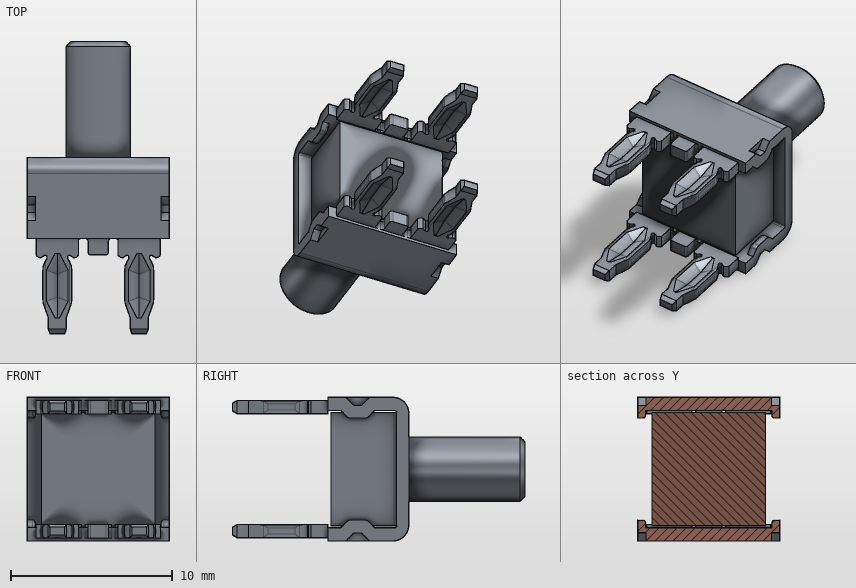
import cadquery as cq


frame_width = 8.8
frame_height = 8.9
frame_depth = 5.01
sheet = 0.83
back_thickness = 0.76
bend_radius = 1.0
inner_bend_radius = 0.1
shaft_hole_diameter = 4.2
arm_inner_z = frame_height / 2 - sheet

crimp_y = 1.85
crimp_width = 0.5
notch_depth = 0.5
notch_floor = 0.47
bump_depth = 0.47
bump_crest = 1.15
bump_crest_radius = 0.4
bump_end_radius = 0.18

terminal_inset = 0.2
terminal_z = frame_height / 2 - terminal_inset - sheet / 2
root_fillet_width = 0.18
outer_root_fillet_height = 0.07

centre_tab_width = 1.27
centre_tab_length = 1.01
centre_tab_radius = 0.16

pin_x = 2.53
shoulder_width = 2.62
shoulder_length = 1.2
shoulder_side_end_y = -1.03
shoulder_corner_radius = 0.36
relief_top_y = -1.05
relief_radius = 0.07
relief_flat_end_x = 0.8
relief_mouth_x = 1.01

neck_half_width = 0.65
pin_half_width = 0.89
pin_end_half_width = 0.56
flare_start_y = -1.25
flare_mid_half_width = 0.78
flare_mid_y = -1.47
flare_end_y = -1.75
taper_start_y = -3.98
taper_end_y = -4.9
tip_y = -5.61
pin_end_y = -5.9
tip_face_half_width = 0.45
tip_face_thickness = 0.49
edge_bevel_half_width = 0.75
edge_bevel_drop = 0.04

boss_half_width = 0.9
boss_top_length = 1.65
boss_top_thickness = 0.38

pocket_mid_y = -2.91
pocket_half_width = 0.67
pocket_length = 4.0
pocket_point_length = 4.52
pocket_side_length = 1.94
pocket_ridge_length = 1.43
pocket_depth = 0.33

block_side = 7.02
block_front_y = 0.18
shaft_diameter = 4.0
shaft_length = 7.19
shaft_chamfer = 0.3


def box_between(x, y, z):
    """Box given by its (low, high) limits along each axis."""
    return cq.Workplane("XY").box(
        x[1] - x[0], y[1] - y[0], z[1] - z[0], centered=False
    ).translate((x[0], y[0], z[0]))


def polyhedron(faces):
    """Solid bounded by flat faces, each a list of corner points."""
    sides = [cq.Face.makeFromWires(cq.Wire.makePolygon(points, close=True)) for points in faces]
    return cq.Workplane(cq.Solid.makeSolid(cq.Shell.makeShell(sides)))


def trapezoid_bar(base_z, base_width, crest_z, crest_width):
    """Bar of trapezoid section at the +X edge of the frame, as long as a crimp is wide."""
    return (
        cq.Workplane("YZ", origin=(frame_width / 2 - crimp_width, 0, 0))
        .polyline([
            (crimp_y - base_width / 2, base_z),
            (crimp_y - crest_width / 2, crest_z),
            (crimp_y + crest_width / 2, crest_z),
            (crimp_y + base_width / 2, base_z),
        ])
        .close()
        .extrude(crimp_width)
    )


def four_corners(body):
    """The body at +X +Z and its mirror images at the other three corners."""
    pair = [body, body.mirror("YZ")]
    return pair + [copy.mirror("XY") for copy in pair]


def make_bracket():
    """U-shaped bracket with bent corners, a shaft hole and four crimps."""
    bracket = (
        box_between(
            (-frame_width / 2, frame_width / 2), (0, frame_depth), (-frame_height / 2, frame_height / 2)
        )
        .edges("|X and >Y")
        .fillet(bend_radius)
    )
    back_inner_y = frame_depth - back_thickness
    opening = (
        box_between(
            (-frame_width / 2, frame_width / 2), (0, back_inner_y), (-arm_inner_z, arm_inner_z)
        )
        .edges("|X and >Y")
        .fillet(inner_bend_radius)
    )
    shaft_hole = cq.Workplane("XZ").circle(shaft_hole_diameter / 2).extrude(-frame_depth)
    bracket = bracket.cut(opening).cut(shaft_hole)

    notch = trapezoid_bar(
        frame_height / 2, notch_floor + 2 * notch_depth, frame_height / 2 - notch_depth, notch_floor
    )
    bump = (
        trapezoid_bar(arm_inner_z, bump_crest + 2 * bump_depth, arm_inner_z - bump_depth, bump_crest)
        .edges("|X and <Z")
        .fillet(bump_crest_radius)
        .faces("<X")
        .edges("not >Z")
        .fillet(bump_end_radius)
    )
    for cutter in four_corners(notch):
        bracket = bracket.cut(cutter)
    for addition in four_corners(bump):
        bracket = bracket.union(addition)
    return bracket


def root_fillet(tab_width, height):
    """Concave fillet, tangent to the bracket's end, on the +X side of a tab's root."""
    radius = (root_fillet_width**2 + height**2) / (2 * height)
    return (
        cq.Workplane("XY", origin=(0, 0, -sheet / 2))
        .moveTo(tab_width / 2, 0)
        .lineTo(tab_width / 2 + root_fillet_width, 0)
        .radiusArc((tab_width / 2, -height), -radius)
        .close()
        .extrude(sheet)
    )


def make_centre_tab():
    """Short rounded tab between the two pins of an arm."""
    tab = (
        box_between(
            (-centre_tab_width / 2, centre_tab_width / 2), (-centre_tab_length, 0), (-sheet / 2, sheet / 2)
        )
        .edges("|Z and <Y")
        .fillet(centre_tab_radius)
    )
    fillet = root_fillet(centre_tab_width, root_fillet_width)
    return tab.union(fillet).union(fillet.mirror("YZ"))


def make_shoulder():
    """Wide tab at the root of a pin, with rounded reliefs beside the pin's neck."""
    return (
        cq.Workplane("XY", origin=(0, 0, -sheet / 2))
        .moveTo(0, 0)
        .lineTo(shoulder_width / 2, 0)
        .lineTo(shoulder_width / 2, shoulder_side_end_y)
        .radiusArc((relief_mouth_x, -shoulder_length), shoulder_corner_radius)
        .lineTo(relief_flat_end_x, relief_top_y)
        .lineTo(neck_half_width + relief_radius, relief_top_y)
        .radiusArc((neck_half_width, relief_top_y - relief_radius), -relief_radius)
        .lineTo(neck_half_width, flare_start_y)
        .lineTo(0, flare_start_y)
        .mirrorY()
        .extrude(sheet)
    )


def make_boss():
    """Boss on the +X flank of a pin, tapering from the whole flank to a smaller flat top."""
    flank_length = flare_end_y - taper_start_y
    flank_mid_y = (flare_end_y + taper_start_y) / 2
    return (
        cq.Workplane("YZ", origin=(pin_half_width, flank_mid_y, 0))
        .rect(flank_length, sheet - 2 * edge_bevel_drop)
        .workplane(offset=boss_half_width - pin_half_width)
        .rect(boss_top_length, boss_top_thickness)
        .loft()
    )


def make_pocket():
    """V-shaped pocket in the upper face of a pin, running out to a blunt point at both ends."""
    top = sheet / 2
    point, side, ridge = (
        length / 2 for length in (pocket_point_length, pocket_side_length, pocket_ridge_length)
    )
    rim = [
        (0, point, top),
        (pocket_half_width, side, top),
        (pocket_half_width, -side, top),
        (0, -point, top),
        (-pocket_half_width, -side, top),
        (-pocket_half_width, side, top),
    ]
    back = (0, ridge, top - pocket_depth)
    front = (0, -ridge, top - pocket_depth)
    pocket = polyhedron([
        rim,
        [rim[0], rim[1], back],
        [rim[1], rim[2], front, back],
        [rim[2], rim[3], front],
        [rim[3], rim[4], front],
        [rim[4], rim[5], back, front],
        [rim[5], rim[0], back],
    ])
    blunt_ends = cq.Workplane("XY").box(2 * pocket_half_width, pocket_length, 2 * sheet)
    return pocket.intersect(blunt_ends).translate((0, pocket_mid_y, 0))


def make_shank():
    """Pin body from its root to the start of its tip, with bevelled edges where it is widest."""
    blank = (
        cq.Workplane("XY", origin=(0, 0, -sheet / 2))
        .moveTo(0, relief_top_y)
        .lineTo(neck_half_width, relief_top_y)
        .lineTo(neck_half_width, flare_start_y)
        .threePointArc((flare_mid_half_width, flare_mid_y), (pin_half_width, flare_end_y))
        .lineTo(pin_half_width, taper_start_y)
        .lineTo(pin_end_half_width, taper_end_y)
        .lineTo(pin_end_half_width, tip_y)
        .lineTo(0, tip_y)
        .mirrorY()
        .extrude(sheet)
    )
    bevelled_bar = (
        cq.Workplane("XY")
        .box(2 * pin_half_width, -2 * pin_end_y, sheet)
        .edges("|Y")
        .chamfer(edge_bevel_drop, pin_half_width - edge_bevel_half_width)
    )
    return blank.intersect(bevelled_bar)


def make_tip():
    """Tapered end of a pin."""
    return (
        cq.Workplane("XZ", origin=(0, tip_y, 0))
        .rect(2 * pin_end_half_width, sheet)
        .workplane(offset=tip_y - pin_end_y)
        .rect(2 * tip_face_half_width, tip_face_thickness)
        .loft()
    )


def make_pin():
    """Press-fit pin with its shoulder, centred on X = 0 and Z = 0."""
    boss = make_boss()
    pocket = make_pocket()
    pin = make_shoulder().union(make_shank()).union(make_tip())
    pin = pin.union(boss).union(boss.mirror("YZ"))
    return pin.cut(pocket).cut(pocket.mirror("XY"))


def make_frame():
    """Bracket with two pins and a centre tab on each arm, one solid."""
    frame = make_bracket()
    pin = make_pin()
    inner_fillet = root_fillet(shoulder_width, outer_root_fillet_height)
    left_terminal = pin.union(inner_fillet).translate((-pin_x, 0, 0))
    terminals = [left_terminal, make_centre_tab(), left_terminal.mirror("YZ")]
    for z in (-terminal_z, terminal_z):
        for terminal in terminals:
            frame = frame.union(terminal.translate((0, 0, z)))
    return frame


def make_actuator():
    """Switch block with the round shaft that passes through the bracket."""
    back_y = frame_depth - back_thickness
    block = box_between(
        (-block_side / 2, block_side / 2), (block_front_y, back_y), (-block_side / 2, block_side / 2)
    )
    shaft = (
        cq.Workplane("XZ", origin=(0, back_y, 0))
        .circle(shaft_diameter / 2)
        .extrude(-(back_thickness + shaft_length))
        .faces(">Y")
        .chamfer(shaft_chamfer)
    )
    return block.union(shaft)


frame = make_frame()
actuator = make_actuator()

result = cq.Compound.makeCompound([frame.val(), actuator.val()])